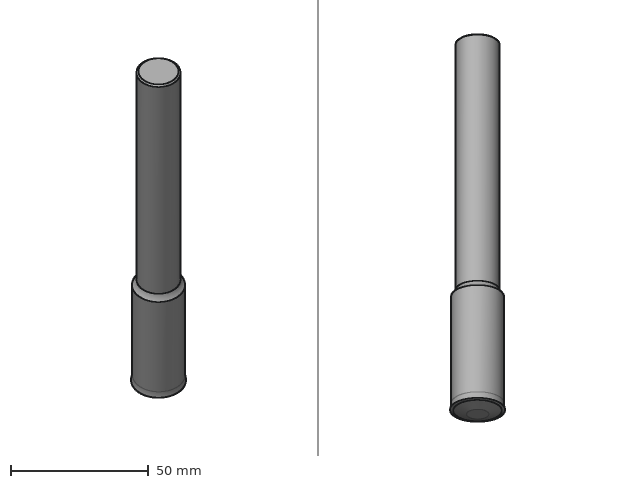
import cadquery as cq
import math

total_length = 150.0
shank_radius = 16.0 / 2
body_radius = 19.4 / 2
rim_radius = 20.1 / 2

shank_start = 50.0
shoulder_height = 2.5
shoulder_hollow = 0.22
top_chamfer_width = 0.8
top_chamfer_height = 0.6

flare_top = 4.4
rim_height = 1.6

button_radius = 8.8
button_height = 1.4
button_tip_radius = 4.0

shoulder_start = shank_start - shoulder_height
shoulder_middle = (
    (shank_radius + body_radius) / 2 - shoulder_hollow,
    shank_start - shoulder_height / 2,
)

flare_width = rim_radius - body_radius
flare_height = flare_top - rim_height
flare_arc_radius = (flare_width**2 + flare_height**2) / (2 * flare_width)
flare_half_sweep = math.atan2(flare_width, flare_height)
flare_middle = (
    body_radius + flare_arc_radius * (1 - math.cos(flare_half_sweep)),
    flare_top - flare_arc_radius * math.sin(flare_half_sweep),
)


def make_holder():
    """Revolve the stepped holder, from the button seat up to the top of the shank."""
    return (
        cq.Workplane("XZ")
        .moveTo(0, button_height)
        .lineTo(button_radius, button_height)
        .lineTo(rim_radius, rim_height)
        .threePointArc(flare_middle, (body_radius, flare_top))
        .lineTo(body_radius, shoulder_start)
        .threePointArc(shoulder_middle, (shank_radius, shank_start))
        .lineTo(shank_radius, total_length - top_chamfer_height)
        .lineTo(shank_radius - top_chamfer_width, total_length)
        .lineTo(0, total_length)
        .close()
        .revolve(360, (0, 0, 0), (0, 1, 0))
    )


def make_button():
    """Revolve the blunt cone that closes the bottom of the holder."""
    return (
        cq.Workplane("XZ")
        .lineTo(button_tip_radius, 0)
        .lineTo(button_radius, button_height)
        .lineTo(0, button_height)
        .close()
        .revolve(360, (0, 0, 0), (0, 1, 0))
    )


holder = make_holder()
button = make_button()

result = cq.Compound.makeCompound([holder.val(), button.val()])